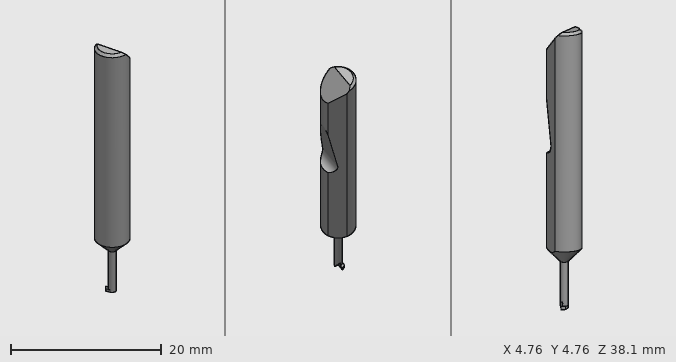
import cadquery as cq
import math

overall_length = 38.1
shank_radius = 4.7625 / 2
neck_radius = 0.535
neck_top = 6.4
cone_top = neck_top + shank_radius - neck_radius
top_chamfer = 0.38

slope_start_y = -0.63

flat_distance = 2.03
flat_angle = 145.0

notch_radius = 1.24
notch_centre_z = 22.35
ramp_top_z = 29.85

head_reach = 1.0
head_top = 0.43
front_flat_length = 0.7
flank_arc_point = (-0.9, -0.25)
end_relief_angle = 4.0

pocket_height = 0.97
pocket_slope_angle = 30.0

margin = 1.0


def make_body():
    """Revolved shank, cone and neck."""
    return (
        cq.Workplane("XZ")
        .moveTo(0, 0)
        .lineTo(-neck_radius, 0)
        .lineTo(-neck_radius, neck_top)
        .lineTo(-shank_radius, cone_top)
        .lineTo(-shank_radius, overall_length - top_chamfer)
        .lineTo(-shank_radius + top_chamfer, overall_length)
        .lineTo(0, overall_length)
        .close()
        .revolve(360, (0, 0, 0), (0, 1, 0))
    )


def make_top_slope():
    """Wedge above the 45 degree plane that falls towards +Y."""
    run = shank_radius + margin - slope_start_y
    return (
        cq.Workplane("YZ")
        .moveTo(slope_start_y, overall_length)
        .lineTo(slope_start_y + run, overall_length - run)
        .lineTo(slope_start_y + run, overall_length)
        .close()
        .extrude(shank_radius + margin, both=True)
    )


def make_flat():
    """Block outside the flat of the shank."""
    width = 2 * (shank_radius + margin)
    return (
        cq.Workplane("XY")
        .box(margin, width, overall_length, centered=(False, True, False))
        .translate((flat_distance, 0, 0))
        .rotate((0, 0, 0), (0, 0, 1), flat_angle)
    )


def make_notch():
    """Round-bottomed notch with a ramp that leaves the round tangentially."""
    ramp_length = ramp_top_z - notch_centre_z
    ramp_angle = math.asin(notch_radius / ramp_length)
    tangent_y = shank_radius - notch_radius * math.cos(ramp_angle)
    tangent_z = notch_centre_z + notch_radius * math.sin(ramp_angle)
    mid_angle = (math.pi / 2 - ramp_angle) / 2
    mid_y = shank_radius - notch_radius * math.cos(mid_angle)
    mid_z = notch_centre_z - notch_radius * math.sin(mid_angle)
    outer_y = shank_radius + margin
    return (
        cq.Workplane("YZ")
        .moveTo(shank_radius, ramp_top_z)
        .lineTo(tangent_y, tangent_z)
        .threePointArc((mid_y, mid_z), (shank_radius, notch_centre_z - notch_radius))
        .lineTo(outer_y, notch_centre_z - notch_radius)
        .lineTo(outer_y, ramp_top_z)
        .close()
        .extrude(shank_radius + margin, both=True)
    )


def make_head():
    """Cutting head reaching out to -X, its rake face on the plane Y = 0."""
    return (
        cq.Workplane("XY")
        .moveTo(0, 0)
        .lineTo(0, -neck_radius)
        .lineTo(-front_flat_length, -neck_radius)
        .threePointArc(flank_arc_point, (-head_reach, 0))
        .close()
        .extrude(head_top)
    )


def make_chip_pocket():
    """Chip pocket above the rake face, with one sloped plane as its wall."""
    depth = (pocket_height + margin) * math.tan(math.radians(pocket_slope_angle))
    outer_x = -head_reach - margin
    return (
        cq.Workplane("XZ")
        .moveTo(-neck_radius, pocket_height)
        .lineTo(-neck_radius + depth, -margin)
        .lineTo(outer_x, -margin)
        .lineTo(outer_x, pocket_height)
        .close()
        .extrude(-(neck_radius + margin))
    )


def make_end_relief():
    """Wedge below the tip; the end face rises from the cutting corner to +X."""
    run = head_reach + neck_radius + margin
    return (
        cq.Workplane("XZ")
        .moveTo(-head_reach, 0)
        .lineTo(-head_reach + run, run * math.tan(math.radians(end_relief_angle)))
        .lineTo(-head_reach + run, -margin)
        .lineTo(-head_reach, -margin)
        .close()
        .extrude(neck_radius + margin, both=True)
    )


shank = make_body().cut(make_top_slope()).cut(make_flat()).cut(make_notch())
result = shank.cut(make_chip_pocket()).union(make_head()).cut(make_end_relief())